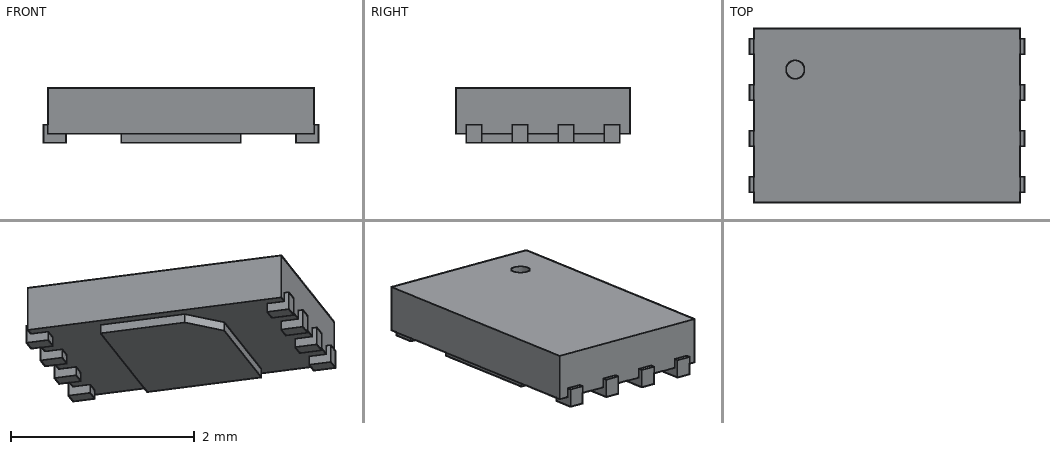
import cadquery as cq

overall_length = 3.0
body_width = 1.9
overall_height = 0.6

lead_overhang = 0.05
lead_length = 0.25
lead_width = 0.17
lead_height = 0.2
lead_pitch = 0.5
leads_per_side = 4
standoff = 0.1
body_length = overall_length - 2 * lead_overhang

pad_length = 1.305
pad_width = (leads_per_side - 1) * lead_pitch + lead_width
pad_bevel = 0.342

mark_diameter = 0.2
mark_depth = 0.1
mark_inset = 0.45


def make_body():
    return (
        cq.Workplane("XY")
        .workplane(offset=standoff)
        .rect(body_length, body_width)
        .extrude(overall_height - standoff)
    )


def make_pad():
    pad = cq.Workplane("XY").rect(pad_length, pad_width).extrude(standoff)
    return pad.edges("|Z and <X and >Y").chamfer(pad_bevel)


def make_leads():
    row_spacing = overall_length - lead_length
    return (
        cq.Workplane("XY")
        .rarray(row_spacing, lead_pitch, 2, leads_per_side)
        .rect(lead_length, lead_width)
        .extrude(lead_height)
    )


def make_mark():
    return (
        cq.Workplane("XY")
        .workplane(offset=overall_height - mark_depth)
        .center(-body_length / 2 + mark_inset, body_width / 2 - mark_inset)
        .circle(mark_diameter / 2)
        .extrude(mark_depth)
    )


result = make_body().union(make_pad()).union(make_leads()).cut(make_mark())